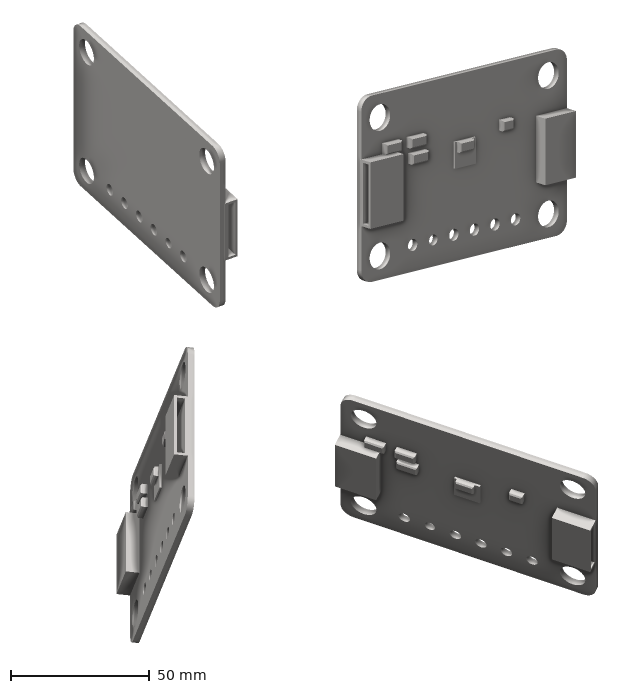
import cadquery as cq

overall_width = 100.0
connector_overhang = 0.2
left_edge = -overall_width / 2
right_edge = overall_width / 2

board_width = overall_width - connector_overhang
board_height = 70.0
board_thickness = 2.5
corner_radius = 5.0
board_center_x = left_edge + board_width / 2

mount_hole_diameter = 10.0
mount_hole_inset_x = 9.0
mount_hole_inset_z = 9.0

header_hole_count = 6
header_hole_pitch = 10.0
header_hole_diameter = 4.5
small_hole_diameter = 4.0
small_hole_index = 4
first_header_hole_x = left_edge + 24.9
header_row_z = -25.0

chip_height = 2.5
chip_depth = 4.0
chip_chamfer = 0.5
chips = [
    (27.8, 5.2, 14.0),
    (47.0, 7.0, 10.0),
    (69.1, 8.0, 10.0),
    (70.0, 7.8, 16.2),
    (82.0, 7.8, 16.2),
]

pad_start = 45.0
pad_width = 10.0
pad_depth = 10.0
pad_height = 0.8
pad_top_z = 10.0

connector_height = 5.0
connector_bottom_z = -13.0
connector_length = 25.0
left_connector_depth = 15.0
right_connector_depth = 16.2
connector_wall = 1.0
lip_drop = 0.5


def block(start, size):
    """Box given by its lowest corner and its size."""
    return cq.Workplane("XY").box(*size, centered=False).translate(start)


def hole_cutters(points, diameter):
    """Cylinders along Y through the board at the given (X, Z) points."""
    return cq.Workplane("XZ").pushPoints(points).circle(diameter / 2).extrude(-board_thickness)


def make_chip(start, length, top_z):
    """Chip body with chamfered edges around its raised face."""
    corner = (left_edge + start, board_thickness, top_z - chip_depth)
    chip = block(corner, (length, chip_height, chip_depth))
    return chip.faces(">Y").chamfer(chip_chamfer)


def make_board():
    """Rounded plate with its holes and the components formed on it."""
    board = cq.Workplane("XZ").rect(board_width, board_height).extrude(-board_thickness)
    board = board.edges("|Y").fillet(corner_radius).translate((board_center_x, 0, 0))

    mount_x = board_width / 2 - mount_hole_inset_x
    mount_z = board_height / 2 - mount_hole_inset_z
    mount_points = [
        (board_center_x + side * mount_x, level * mount_z)
        for side in (-1, 1)
        for level in (-1, 1)
    ]
    board = board.cut(hole_cutters(mount_points, mount_hole_diameter))

    for index in range(header_hole_count):
        diameter = small_hole_diameter if index == small_hole_index else header_hole_diameter
        point = (first_header_hole_x + index * header_hole_pitch, header_row_z)
        board = board.cut(hole_cutters([point], diameter))

    pad_corner = (left_edge + pad_start, board_thickness, pad_top_z - pad_depth)
    board = board.union(block(pad_corner, (pad_width, pad_height, pad_depth)))
    for start, length, top_z in chips:
        board = board.union(make_chip(start, length, top_z))
    return board


def make_shell(start_x, depth, opening_offset):
    """Connector shell whose cavity is shifted in X to open at one end."""
    corner = (start_x, board_thickness, connector_bottom_z)
    shell = block(corner, (depth, connector_height, connector_length))
    cavity_corner = (
        start_x + opening_offset,
        board_thickness + connector_wall,
        connector_bottom_z + connector_wall,
    )
    cavity_size = (
        depth - connector_wall,
        connector_height - 2 * connector_wall,
        connector_length - 2 * connector_wall,
    )
    return shell.cut(block(cavity_corner, cavity_size))


def make_left_connector():
    """Shell flush with the board's left edge, open towards -X."""
    return make_shell(left_edge, left_connector_depth, 0)


def make_right_connector():
    """Shell open towards +X, with a lip hooked over the board's right edge."""
    start_x = right_edge - right_connector_depth
    shell = make_shell(start_x, right_connector_depth, connector_wall)
    lip_corner = (right_edge - connector_overhang, board_thickness - lip_drop, connector_bottom_z)
    lip_height = lip_drop + connector_wall
    lip = block(lip_corner, (connector_overhang, lip_height, connector_length))
    return shell.union(lip)


board = make_board()
left_connector = make_left_connector()
right_connector = make_right_connector()

bodies = [board, left_connector, right_connector]
result = cq.Compound.makeCompound([body.solids().val() for body in bodies])